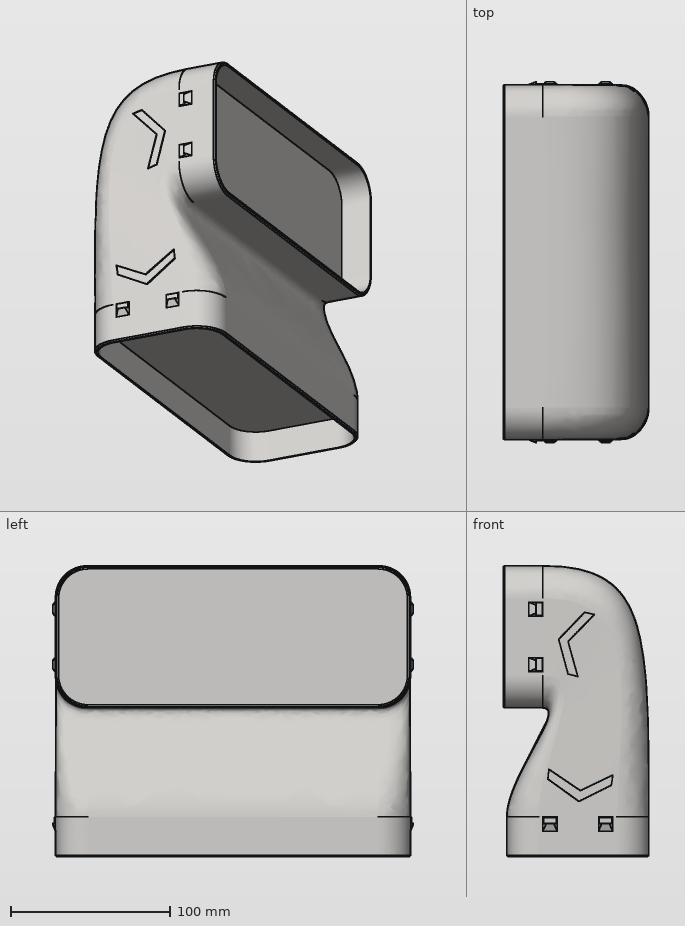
import cadquery as cq
import math

overall_length = 226.5
clip_height = 1.8
duct_length = overall_length - 2 * clip_height
duct_depth = 89.3
corner_radius = 20.2
collar_length = 25.0
total_height = 182.6
bottom_offset = 2.3
wall = 2.0
recess_depth = 20.0
rim_chamfer = 1.0

half_length = duct_length / 2
mouth_floor = total_height - duct_depth
bottom_center_x = bottom_offset + duct_depth / 2
mouth_center_z = mouth_floor + duct_depth / 2

inner_handles = (15.6, 25.8)
outer_handles = (66.6, 117.2)
section_count = 17
inner_corner_growth = 7.5
outer_corner_swing = 1.02
side_inset = 0.5
ARC_HANDLE = 4 / 3 * (math.sqrt(2) - 1)

clip_width = 8.8
clip_spacing = 35.0
ridge_width = 5.0
ridge_level = 20.6
ridge_thickness = 0.2
clip_end = collar_length - clip_width
pad_height = 0.7
pad_bevel = 0.5

arrow_floor = 0.7
upper_arrow = [(51.2, 153.5), (57.3, 152.0), (40.8, 135.0), (47.0, 113.0), (40.8, 114.7), (35.0, 136.5)]
lower_arrow = [(28.8, 54.8), (48.5, 41.5), (68.9, 51.2), (68.0, 44.9), (47.5, 34.7), (28.0, 48.7)]


def collar():
    """Collar along +Z, rim at Z = 0, short side along X, with a blind recess."""
    outer = (
        cq.Workplane("XY")
        .rect(duct_depth, duct_length)
        .extrude(collar_length)
        .edges("|Z")
        .fillet(corner_radius)
        .faces("<Z")
        .chamfer(rim_chamfer)
    )
    recess = (
        cq.Workplane("XY")
        .rect(duct_depth - 2 * wall, duct_length - 2 * wall)
        .extrude(recess_depth)
        .edges("|Z")
        .fillet(corner_radius - wall)
    )
    body = outer.cut(recess)
    for offset in (-clip_spacing / 2, clip_spacing / 2):
        placed_clip = clip().translate((offset, 0, 0))
        body = body.union(placed_clip).union(placed_clip.mirror("XZ"))
    return body


def tapered_block(foot_width, top_width, height, lower_edge, upper_edge):
    """Block on the +Y side wall, given by the Z of its foot and top along both edges.

    lower_edge and upper_edge are (Z at the wall, Z at the top).
    """
    root = half_length - wall / 2
    top = half_length + height
    slopes = (
        cq.Workplane("YZ")
        .polyline([
            (root, lower_edge[0]), (half_length, lower_edge[0]), (top, lower_edge[1]),
            (top, upper_edge[1]), (half_length, upper_edge[0]), (root, upper_edge[0]),
        ])
        .close()
        .extrude(foot_width / 2, both=True)
    )
    flanks = (
        cq.Workplane("XY")
        .polyline([
            (-foot_width / 2, root), (-foot_width / 2, half_length), (-top_width / 2, top),
            (top_width / 2, top), (foot_width / 2, half_length), (foot_width / 2, root),
        ])
        .close()
        .extrude(collar_length)
    )
    return slopes.intersect(flanks)


def clip():
    """Snap wedge that rises away from the rim to a ridge, with a low bevelled pad behind it."""
    wedge = tapered_block(
        clip_width, ridge_width, clip_height,
        (clip_end, ridge_level), (ridge_level + ridge_thickness, ridge_level + ridge_thickness),
    )
    pad = tapered_block(
        clip_width, clip_width - 2 * pad_bevel, pad_height,
        (ridge_level, ridge_level), (collar_length, collar_length - pad_bevel),
    )
    return wedge.union(pad)


def rail(level, handles, t):
    """Point (x, z) of a cubic Bezier that leaves the side mouth along X and reaches the bottom along -Z.

    level is the distance of the rail from the inside of the bend, at both mouths.
    """
    start_x, start_z = collar_length, mouth_floor + level
    end_x, end_z = bottom_offset + level, collar_length
    weights = ((1 - t) ** 3, 3 * t * (1 - t) ** 2, 3 * t * t * (1 - t), t ** 3)
    xs = (start_x, start_x + handles[0], end_x, end_x)
    zs = (start_z, start_z, end_z + handles[1], end_z)
    return sum(w * x for w, x in zip(weights, xs)), sum(w * z for w, z in zip(weights, zs))


def bend_section(t):
    """Rounded rectangle across the bend, in the plane through the inner and outer rails."""
    inner = rail(0, inner_handles, t)
    outer = rail(duct_depth, outer_handles, t)
    depth = math.dist(inner, outer)
    bulge = math.sin(math.pi * t) ** 2
    near = corner_radius + inner_corner_growth * bulge
    far = depth - corner_radius - outer_corner_swing * math.sin(2 * math.pi * t)
    flat = half_length - corner_radius
    side = half_length - side_inset * bulge

    def place(y, reach):
        """Point of the section plane at a distance from the inner rail."""
        share = reach / depth
        x = inner[0] + share * (outer[0] - inner[0])
        z = inner[1] + share * (outer[1] - inner[1])
        return cq.Vector(x, y, z)

    def corner(y_sign, edge_reach, side_reach):
        """Elliptical quarter from the long edge to the side wall."""
        y_handle = flat + ARC_HANDLE * (side - flat)
        reach_handle = side_reach + ARC_HANDLE * (edge_reach - side_reach)
        points = [
            place(y_sign * flat, edge_reach), place(y_sign * y_handle, edge_reach),
            place(y_sign * side, reach_handle), place(y_sign * side, side_reach),
        ]
        return cq.Edge.makeBezier(points)

    return cq.Wire.assembleEdges([
        cq.Edge.makeLine(place(-flat, 0), place(flat, 0)),
        corner(1, 0, near),
        cq.Edge.makeLine(place(side, near), place(side, far)),
        corner(1, depth, far),
        cq.Edge.makeLine(place(flat, depth), place(-flat, depth)),
        corner(-1, depth, far),
        cq.Edge.makeLine(place(-side, far), place(-side, near)),
        corner(-1, 0, near),
    ])


def bend():
    """Solid body that sweeps smoothly from the side mouth to the bottom mouth."""
    sections = [bend_section(i / (section_count - 1)) for i in range(section_count)]
    return cq.Workplane(cq.Solid.makeLoft(sections))


def arrow_marks():
    """Two chevrons on each side wall, pointing along the duct."""
    marks = cq.Workplane("XZ", origin=(0, arrow_floor - half_length, 0))
    marks = marks.polyline(upper_arrow).close().polyline(lower_arrow).close().extrude(arrow_floor)
    return marks.union(marks.mirror("XZ"))


bottom_collar = collar().translate((bottom_center_x, 0, 0))
mouth_collar = (
    collar()
    .rotate((0, 0, 0), (0, 1, 0), 90)
    .translate((0, 0, mouth_center_z))
)
result = bend().union(bottom_collar).union(mouth_collar).cut(arrow_marks())